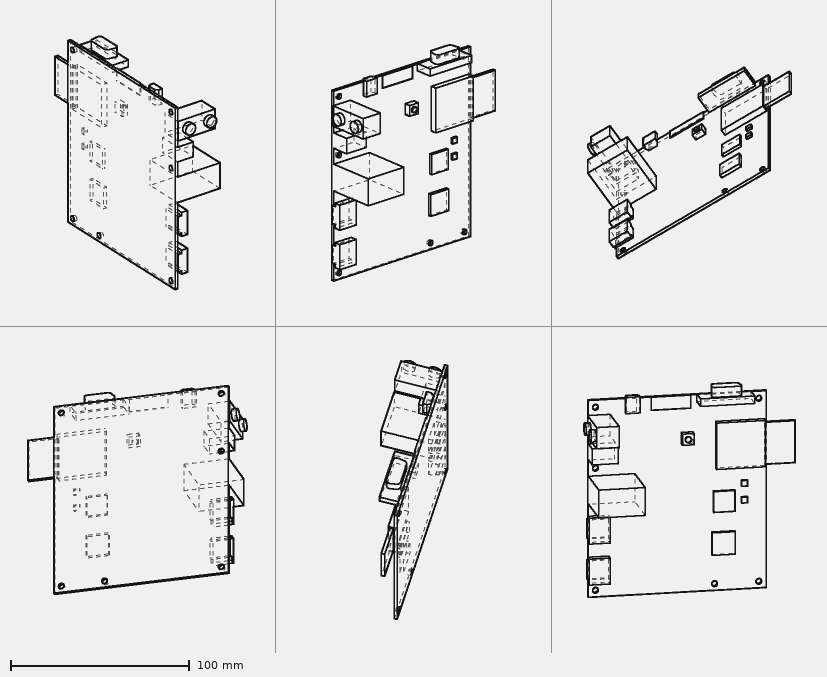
import cadquery as cq
import math

BOARD_WIDTH = 101.5
BOARD_HEIGHT = 114.4
BOARD_THICKNESS = 1.8
MOUNT_HOLE_DIAMETER = 3.1
MOUNT_HOLE_LEFT = 4.2
MOUNT_HOLE_RIGHT = BOARD_WIDTH - 4.1
MOUNT_HOLE_BOTTOM = 3.9
MOUNT_HOLE_TOP = BOARD_HEIGHT - 4.2
EXTRA_HOLE_X = 29.5
EXTRA_HOLE_Z = 74.7

TOTAL_WIDTH = 120.8
TOTAL_DEPTH = 31.2
TOTAL_HEIGHT = 120.5
LEFT_REACH = -15.9
RIGHT_REACH = LEFT_REACH + TOTAL_WIDTH

DSUB_LEFT = 8.8
DSUB_WIDTH = 30.9
DSUB_BOTTOM = 110.5
DSUB_TOP = 114.8
DSUB_DEPTH_END = 12.9
SHELL_CENTER_X = 24.2
SHELL_FRONT = 3.3
SHELL_BACK = 11.2
SHELL_WIDTH = 17.9
SHELL_SIDE_ANGLE = 10
SHELL_CORNER_RADIUS = 2.0

USB_LEFT = 72.9
USB_WIDTH = 8.1
USB_BOTTOM = 106.7
USB_TOP = 116.2
USB_DEPTH_END = 6.2
USB_CHAMFER_WIDTH = 1.2
USB_CHAMFER_DEPTH = 1.9

JACK_LEFT = 89.2
JACK_RIGHT = BOARD_WIDTH + 0.5
JACK_BOTTOM = 93.3
JACK_TOP = 105.7
JACK_DEPTH_END = 27.3
BARREL_DIAMETER = 6.9
BARREL_Z = 99.7
BARREL_LOWER_Y = 8.3
BARREL_UPPER_Y = 23.0

SOCKET_LEFT = 75.1
SOCKET_BOTTOM = 54.2
SOCKET_TOP = 70.4
HEADER_LEFT = 86.8
HEADER_BOTTOM = 79.9
HEADER_TOP = 89.2
HEADER_DEPTH_END = 12.7

HDMI_LEFT = 90.3
HDMI_RIGHT = BOARD_WIDTH + 0.8
HDMI_FRONT = 1.6
HDMI_STEP = 3.9
HDMI_DEPTH_END = 8.0
HDMI_HEIGHT = 15.1
HDMI_STEM_HEIGHT = 11.0
HDMI_CENTERS_Z = (16.4, 40.2)

HOLDER_LEFT = 1.2
HOLDER_RIGHT = 29.0
HOLDER_BOTTOM = 71.2
HOLDER_TOP = 98.2
HOLDER_DEPTH_END = 5.5
CARD_LENGTH = 32.0
CARD_FRONT = 2.7
CARD_BACK = 4.7
CARD_BOTTOM = 72.5
CARD_TOP = 96.8

SWITCH_SIZE = 6.5
SWITCH_CENTER_X = 45.3
SWITCH_CENTER_Z = 89.6
SWITCH_DEPTH_END = 5.5
BUTTON_DIAMETER = 3.4
BUTTON_DEPTH_END = 6.3

STRIP_LEFT = 43.2
STRIP_RIGHT = 65.7
STRIP_BOTTOM = 106.7
STRIP_DEPTH_END = 2.3
CHIP_LEFT = 18.1
LOWER_CHIP_SIZE = 13.0
LOWER_CHIP_BOTTOM = 21.0
LOWER_CHIP_DEPTH_END = 3.9
UPPER_CHIP_SIZE = 12.1
UPPER_CHIP_BOTTOM = 45.8
UPPER_CHIP_DEPTH_END = 3.5
PAD_SIZE = 3.4
PAD_LEFT = 10.9
PAD_DEPTH_END = 3.1
PAD_BOTTOMS_Z = (50.2, 59.9)


def block(x_left, x_right, y_end, z_bottom, z_top, y_start=BOARD_THICKNESS):
    """Box given by its limits, standing on the board face unless told otherwise."""
    size = (x_right - x_left, y_end - y_start, z_top - z_bottom)
    return cq.Workplane("XY").box(*size, centered=False).translate((x_left, y_start, z_bottom))


def make_board():
    board = block(0, BOARD_WIDTH, BOARD_THICKNESS, 0, BOARD_HEIGHT, y_start=0)
    hole_places = [
        (MOUNT_HOLE_LEFT, MOUNT_HOLE_BOTTOM),
        (MOUNT_HOLE_LEFT, MOUNT_HOLE_TOP),
        (MOUNT_HOLE_RIGHT, MOUNT_HOLE_BOTTOM),
        (MOUNT_HOLE_RIGHT, MOUNT_HOLE_TOP),
        (MOUNT_HOLE_RIGHT, EXTRA_HOLE_Z),
        (EXTRA_HOLE_X, MOUNT_HOLE_BOTTOM),
    ]
    holes = (
        cq.Workplane("XZ")
        .pushPoints(hole_places)
        .circle(MOUNT_HOLE_DIAMETER / 2)
        .extrude(-BOARD_THICKNESS)
    )
    return board.cut(holes)


def make_dsub():
    body = block(DSUB_LEFT, DSUB_LEFT + DSUB_WIDTH, DSUB_DEPTH_END, DSUB_BOTTOM, DSUB_TOP)
    half_back = SHELL_WIDTH / 2
    side_lean = (SHELL_BACK - SHELL_FRONT) * math.tan(math.radians(SHELL_SIDE_ANGLE))
    half_front = half_back - side_lean
    shell = (
        cq.Workplane("XY", origin=(SHELL_CENTER_X, 0, DSUB_TOP))
        .polyline([
            (-half_front, SHELL_FRONT),
            (half_front, SHELL_FRONT),
            (half_back, SHELL_BACK),
            (-half_back, SHELL_BACK),
        ])
        .close()
        .extrude(TOTAL_HEIGHT - DSUB_TOP)
        .edges("|Z")
        .fillet(SHELL_CORNER_RADIUS)
    )
    return body.union(shell)


def make_mini_usb():
    usb_right = USB_LEFT + USB_WIDTH
    chamfer_end = BOARD_THICKNESS + USB_CHAMFER_DEPTH
    return (
        cq.Workplane("XY", origin=(0, 0, USB_BOTTOM))
        .polyline([
            (USB_LEFT + USB_CHAMFER_WIDTH, BOARD_THICKNESS),
            (usb_right - USB_CHAMFER_WIDTH, BOARD_THICKNESS),
            (usb_right, chamfer_end),
            (usb_right, USB_DEPTH_END),
            (USB_LEFT, USB_DEPTH_END),
            (USB_LEFT, chamfer_end),
        ])
        .close()
        .extrude(USB_TOP - USB_BOTTOM)
    )


def make_audio_jacks():
    body = block(JACK_LEFT, JACK_RIGHT, JACK_DEPTH_END, JACK_BOTTOM, JACK_TOP)
    barrels = (
        cq.Workplane("YZ", origin=(JACK_RIGHT, 0, 0))
        .pushPoints([(BARREL_LOWER_Y, BARREL_Z), (BARREL_UPPER_Y, BARREL_Z)])
        .circle(BARREL_DIAMETER / 2)
        .extrude(RIGHT_REACH - JACK_RIGHT)
    )
    return body.union(barrels)


def make_hdmi(center_z):
    half_stem = HDMI_STEM_HEIGHT / 2
    half_wide = HDMI_HEIGHT / 2
    stem = block(HDMI_LEFT, HDMI_RIGHT, HDMI_STEP, center_z - half_stem, center_z + half_stem, HDMI_FRONT)
    wide = block(HDMI_LEFT, HDMI_RIGHT, HDMI_DEPTH_END, center_z - half_wide, center_z + half_wide, HDMI_STEP)
    return stem.union(wide)


def make_memory_card():
    holder = block(HOLDER_LEFT, HOLDER_RIGHT, HOLDER_DEPTH_END, HOLDER_BOTTOM, HOLDER_TOP)
    card = block(LEFT_REACH, LEFT_REACH + CARD_LENGTH, CARD_BACK, CARD_BOTTOM, CARD_TOP, CARD_FRONT)
    return holder.union(card)


def make_switch():
    half = SWITCH_SIZE / 2
    body = block(
        SWITCH_CENTER_X - half, SWITCH_CENTER_X + half, SWITCH_DEPTH_END,
        SWITCH_CENTER_Z - half, SWITCH_CENTER_Z + half,
    )
    button = (
        cq.Workplane("XZ", origin=(SWITCH_CENTER_X, SWITCH_DEPTH_END, SWITCH_CENTER_Z))
        .circle(BUTTON_DIAMETER / 2)
        .extrude(SWITCH_DEPTH_END - BUTTON_DEPTH_END)
    )
    return body.union(button)


def square_chip(left, size, bottom, depth_end):
    return block(left, left + size, depth_end, bottom, bottom + size)


components = [
    make_dsub(),
    make_mini_usb(),
    make_audio_jacks(),
    block(SOCKET_LEFT, BOARD_WIDTH, TOTAL_DEPTH, SOCKET_BOTTOM, SOCKET_TOP),
    block(HEADER_LEFT, BOARD_WIDTH, HEADER_DEPTH_END, HEADER_BOTTOM, HEADER_TOP),
    make_memory_card(),
    make_switch(),
    block(STRIP_LEFT, STRIP_RIGHT, STRIP_DEPTH_END, STRIP_BOTTOM, BOARD_HEIGHT),
    square_chip(CHIP_LEFT, LOWER_CHIP_SIZE, LOWER_CHIP_BOTTOM, LOWER_CHIP_DEPTH_END),
    square_chip(CHIP_LEFT, UPPER_CHIP_SIZE, UPPER_CHIP_BOTTOM, UPPER_CHIP_DEPTH_END),
]
for hdmi_z in HDMI_CENTERS_Z:
    components.append(make_hdmi(hdmi_z))
for pad_z in PAD_BOTTOMS_Z:
    components.append(square_chip(PAD_LEFT, PAD_SIZE, pad_z, PAD_DEPTH_END))

result = make_board()
for component in components:
    result = result.union(component)